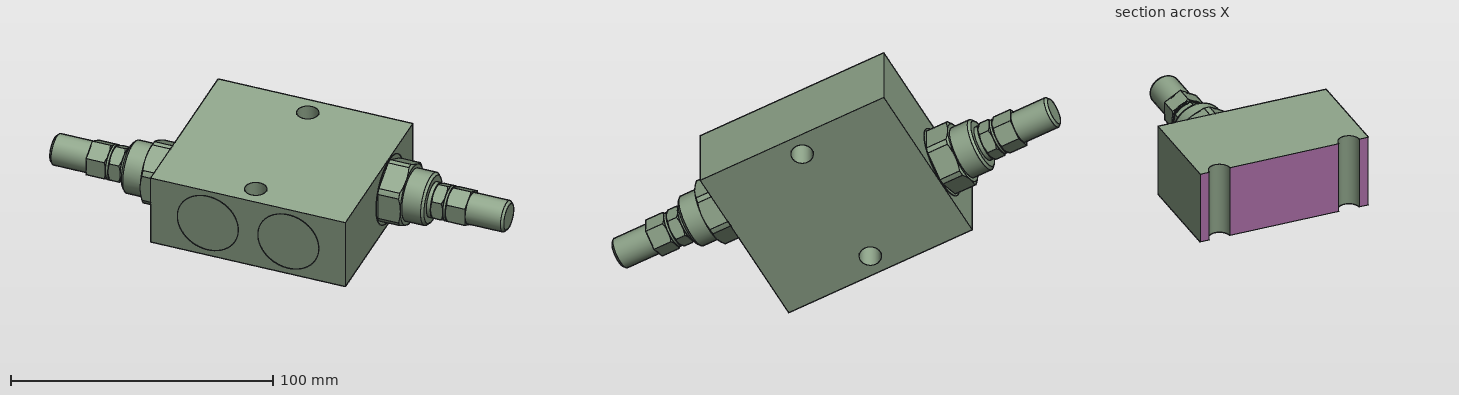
import cadquery as cq
import math

overall_length = 177.4
block_length = 79.8
block_width = 70.0
block_height = 30.0

hole_diameter = 8.5
hole_offset = 27.0

port_diameter = 25.0
port_offset = 16.5
port_depth = 0.2

seat_diameter = 28.0
seat_depth = 0.2

cartridge_offset = 11.0
cartridge_length = (overall_length - block_length) / 2
flange_across_flats = 24.0
flange_corner_diameter = 26.5
flange_length = 9.0
collar_diameter = 21.0
collar_length = 8.7
washer_diameter = 14.0
washer_length = 1.6
nut_across_flats = 13.1
lock_nut_length = 5.0
ring_length = 1.0
cap_nut_length = 8.0
cap_diameter = 12.5
edge_bevel = 1.0
hexagon_bevel_angle = 30.0

flange_end = flange_length
collar_end = flange_end + collar_length
washer_end = collar_end + washer_length
lock_nut_end = washer_end + lock_nut_length
ring_end = lock_nut_end + ring_length
cap_nut_end = ring_end + cap_nut_length


def turned(start, end, diameter, bevel=0.0, bevel_angle=45.0, bevel_start=False, bevel_end=False):
    """Cylinder along Z from start to end; a bevel takes its size off the radius of an end face.

    The bevel angle is measured from the end face.
    """
    radius = diameter / 2
    bevel_height = bevel * math.tan(math.radians(bevel_angle))
    profile = cq.Workplane("XZ").moveTo(0, start)
    if bevel_start:
        profile = profile.lineTo(radius - bevel, start).lineTo(radius, start + bevel_height)
    else:
        profile = profile.lineTo(radius, start)
    if bevel_end:
        profile = profile.lineTo(radius, end - bevel_height).lineTo(radius - bevel, end)
    else:
        profile = profile.lineTo(radius, end)
    return profile.lineTo(0, end).close().revolve(360, (0, 0), (0, 1))


def corner_diameter(across_flats):
    return across_flats / math.cos(math.pi / 6)


def hexagon(start, end, across_flats, across_corners, bevel_start=False, bevel_end=False):
    """Hexagon along Z with two corners on the X axis, turned to across_corners and bevelled at its ends.

    Each bevel narrows the end face to a circle that touches the flats.
    """
    prism = (
        cq.Workplane("XY", origin=(0, 0, start))
        .polygon(6, corner_diameter(across_flats))
        .extrude(end - start)
    )
    bevel = (across_corners - across_flats) / 2
    envelope = turned(start, end, across_corners, bevel, hexagon_bevel_angle, bevel_start, bevel_end)
    return prism.intersect(envelope)


def cartridge():
    """Cartridge along +Z, its foot below the XY plane by the depth of the spot face."""
    nut_corners = corner_diameter(nut_across_flats)
    sections = [
        turned(flange_end, collar_end, collar_diameter, edge_bevel, bevel_end=True),
        turned(collar_end, washer_end, washer_diameter),
        hexagon(washer_end, lock_nut_end, nut_across_flats, nut_corners, bevel_start=True, bevel_end=True),
        turned(lock_nut_end, ring_end, washer_diameter),
        hexagon(ring_end, cap_nut_end, nut_across_flats, nut_corners, bevel_start=True),
        turned(cap_nut_end, cartridge_length, cap_diameter, edge_bevel, bevel_end=True),
    ]
    body = hexagon(-seat_depth, flange_end, flange_across_flats, flange_corner_diameter, bevel_end=True)
    for section in sections:
        body = body.union(section)
    return body


result = (
    cq.Workplane("XY")
    .box(block_length, block_width, block_height)
    .faces(">Z")
    .workplane()
    .pushPoints([(0, hole_offset), (0, -hole_offset)])
    .hole(hole_diameter)
)

for x in (-port_offset, port_offset):
    port = cq.Workplane("XZ", origin=(x, -block_width / 2, 0)).circle(port_diameter / 2).extrude(-port_depth)
    result = result.cut(port)

left_seat = (
    cq.Workplane("YZ", origin=(-block_length / 2, -cartridge_offset, 0))
    .circle(seat_diameter / 2)
    .extrude(seat_depth)
)
left_cartridge = (
    cartridge()
    .rotate((0, 0, 0), (0, 1, 0), -90)
    .translate((-block_length / 2, -cartridge_offset, 0))
)
for turn in (0, 180):
    seat = left_seat.rotate((0, 0, 0), (0, 0, 1), turn)
    insert = left_cartridge.rotate((0, 0, 0), (0, 0, 1), turn)
    result = result.cut(seat).union(insert)